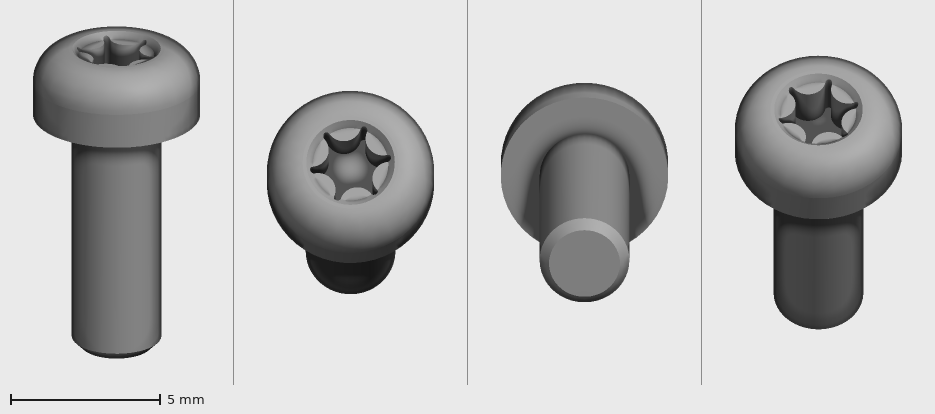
import cadquery as cq
import math

total_length = 10.8
head_radius = 2.803
head_height = 2.4
crown_radius = 1.2
shank_radius = 1.5
tip_chamfer = 0.31

lead_in_radius = 1.48
lead_in_depth = 0.22
lead_in_floor_radius = 1.26

lobe_count = 6
lobe_reach = 1.37
lobe_tip_radius = 0.12
waist_radius = 0.82
socket_depth = 1.73


def polar(radius, angle):
    """Point at a radius and an angle in degrees."""
    radians = math.radians(angle)
    return (radius * math.cos(radians), radius * math.sin(radians))


def make_body():
    """Revolved shank and crowned head, with the shank tip at Z = 0."""
    head_bottom = total_length - head_height
    crown_bottom = total_length - crown_radius
    flat_radius = head_radius - crown_radius
    crown_middle = (
        flat_radius + crown_radius * math.cos(math.pi / 4),
        crown_bottom + crown_radius * math.sin(math.pi / 4),
    )
    profile = (
        cq.Workplane("XZ")
        .lineTo(shank_radius - tip_chamfer, 0)
        .lineTo(shank_radius, tip_chamfer)
        .lineTo(shank_radius, head_bottom)
        .lineTo(head_radius, head_bottom)
        .lineTo(head_radius, crown_bottom)
        .threePointArc(crown_middle, (flat_radius, total_length))
        .lineTo(0, total_length)
        .close()
    )
    return profile.revolve(360, (0, 0, 0), (0, 1, 0))


def make_lead_in():
    """Cone narrowing downward from the top of the head."""
    return cq.Workplane(
        cq.Solid.makeCone(
            lead_in_radius,
            lead_in_floor_radius,
            lead_in_depth,
            pnt=cq.Vector(0, 0, total_length),
            dir=cq.Vector(0, 0, -1),
        )
    )


def make_socket():
    """Six-lobe prism whose rounded tips blend tangentially into the scallops."""
    pitch = 360 / lobe_count
    half_pitch = math.radians(pitch / 2)
    tip_center = lobe_reach - lobe_tip_radius

    waist_to_tip = waist_radius - lobe_tip_radius
    scallop_center = (tip_center**2 - waist_to_tip**2) / (
        2 * (tip_center * math.cos(half_pitch) - waist_to_tip)
    )
    scallop_radius = scallop_center - waist_radius

    blend = lobe_tip_radius / (lobe_tip_radius + scallop_radius)
    along = tip_center + blend * (scallop_center * math.cos(half_pitch) - tip_center)
    across = blend * scallop_center * math.sin(half_pitch)
    tangent_radius = math.hypot(along, across)
    tangent_angle = math.degrees(math.atan2(across, along))

    first_lobe = 90
    outline = cq.Workplane("XY").workplane(offset=total_length)
    outline = outline.moveTo(*polar(tangent_radius, first_lobe - tangent_angle))
    for index in range(lobe_count):
        lobe = first_lobe + index * pitch
        outline = outline.threePointArc(
            polar(lobe_reach, lobe), polar(tangent_radius, lobe + tangent_angle)
        )
        outline = outline.threePointArc(
            polar(waist_radius, lobe + pitch / 2),
            polar(tangent_radius, lobe + pitch - tangent_angle),
        )
    return outline.close().extrude(-socket_depth)


result = make_body().cut(make_lead_in()).cut(make_socket())